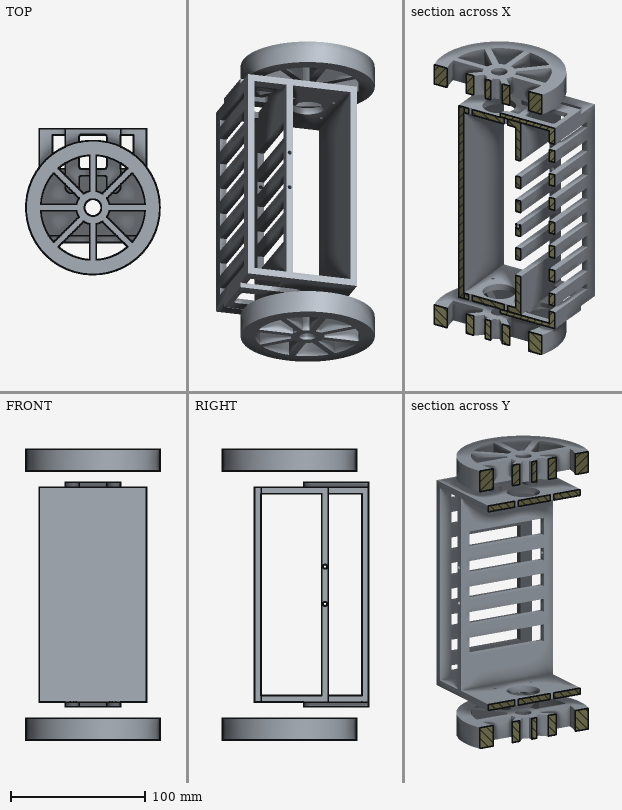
import cadquery as cq


WHEEL_DIAMETER = 100.0
WHEEL_THICKNESS = 16.5
RIM_INNER_DIAMETER = 77.8
HUB_DIAMETER = 25.0
BORE_DIAMETER = 12.4
SPOKE_WIDTH = 5.0
SPOKE_BARS = 4
OVERALL_HEIGHT = 216.8
OVERALL_DEPTH = 108.8

HOUSING_WIDTH = 80.0
HOUSING_HEIGHT = 160.0
PLATE = 5.0
REAR_DEPTH = 30.0
MOTOR_DEPTH = 50.0
BACK_Y = OVERALL_DEPTH - WHEEL_DIAMETER / 2
REAR_FRONT_Y = BACK_Y - REAR_DEPTH
MOTOR_FRONT_Y = REAR_FRONT_Y - MOTOR_DEPTH
INNER_HEIGHT = HOUSING_HEIGHT - 2 * PLATE

BAR_HEIGHT = 10.0
BAR_PITCH = 2 * BAR_HEIGHT
REAR_WINDOW_WIDTH = 60.0
REAR_WINDOW_HEIGHT = 140.0
REAR_BARS = 7
MOTOR_WINDOW_WIDTH = 64.5
MOTOR_WINDOW_HEIGHT = 96.0
MOTOR_BARS = 4

NOTCH_WIDTH = REAR_WINDOW_WIDTH

BRACKET_WIDTH = 41.5
BRACKET_THICKNESS = 3.7
BRACKET_LENGTH = 48.3
BRACKET_SLOT_WIDTH = 20.5
CLOSED_SLOT_START = 4.1
CLOSED_SLOT_END = 30.4
CLOSED_SLOT_RADIUS = 2.5
OPEN_SLOT_START = 35.3
OPEN_SLOT_RADIUS = 1.3

MOTOR_BOSS_DIAMETER = HUB_DIAMETER
MOTOR_SCREW_DIAMETER = 2.5
MOTOR_SCREW_SPACING = 31.2
CROSS_HOLE_DIAMETER = 3.0
CROSS_HOLE_HEIGHTS = (20.8, -7.0)


def box(width, y_front, y_back, z_bottom, z_top):
    """A block centred on X = 0 between the given Y and Z limits."""
    return (
        cq.Workplane("XY", origin=(0, (y_front + y_back) / 2, z_bottom))
        .rect(width, y_back - y_front)
        .extrude(z_top - z_bottom)
    )


def centred_box(width, y_front, y_back, height):
    return box(width, y_front, y_back, -height / 2, height / 2)


def barred_window(width, height, bars, y_front, y_back):
    """The cutter for a window crossed by evenly spaced level bars."""
    window = centred_box(width, y_front, y_back, height)
    for i in range(bars):
        z = (i - (bars - 1) / 2) * BAR_PITCH
        window = window.cut(box(width, y_front, y_back, z - BAR_HEIGHT / 2, z + BAR_HEIGHT / 2))
    return window


def make_wheel(z_bottom):
    """A rim, a bored hub and the spokes between them."""
    base = cq.Workplane("XY", origin=(0, 0, z_bottom))
    wheel = base.circle(WHEEL_DIAMETER / 2).circle(RIM_INNER_DIAMETER / 2).extrude(WHEEL_THICKNESS)
    wheel = wheel.union(base.circle(HUB_DIAMETER / 2).extrude(WHEEL_THICKNESS))
    spoke_length = (WHEEL_DIAMETER + RIM_INNER_DIAMETER) / 2
    bar = base.rect(spoke_length, SPOKE_WIDTH).extrude(WHEEL_THICKNESS)
    for i in range(SPOKE_BARS):
        wheel = wheel.union(bar.rotate((0, 0, 0), (0, 0, 1), i * 180 / SPOKE_BARS))
    return wheel.cut(base.circle(BORE_DIAMETER / 2).extrude(WHEEL_THICKNESS))


def make_bracket():
    """The forked plate on top of the rear frame."""
    z_bottom = HOUSING_HEIGHT / 2
    z_top = z_bottom + BRACKET_THICKNESS
    tip_y = BACK_Y - BRACKET_LENGTH
    prong_width = (BRACKET_WIDTH - BRACKET_SLOT_WIDTH) / 2
    prong_x = (BRACKET_WIDTH - prong_width) / 2
    prong_y = tip_y + prong_width / 2
    bracket = box(BRACKET_WIDTH, prong_y, BACK_Y, z_bottom, z_top)
    prong_ends = (
        cq.Workplane("XY", origin=(0, prong_y, z_bottom))
        .pushPoints([(-prong_x, 0), (prong_x, 0)])
        .circle(prong_width / 2)
        .extrude(BRACKET_THICKNESS)
    )
    open_slot = (
        box(BRACKET_SLOT_WIDTH, tip_y, BACK_Y - OPEN_SLOT_START, z_bottom, z_top)
        .edges("|Z and >Y")
        .fillet(OPEN_SLOT_RADIUS)
    )
    closed_slot = (
        box(BRACKET_SLOT_WIDTH, BACK_Y - CLOSED_SLOT_END, BACK_Y - CLOSED_SLOT_START, z_bottom, z_top)
        .edges("|Z")
        .fillet(CLOSED_SLOT_RADIUS)
    )
    return bracket.cut(open_slot).union(prong_ends).cut(closed_slot)


def make_rear_frame():
    """A frame open to the front and sides, with a barred back wall and a bracket on each end."""
    wall_front_y = BACK_Y - PLATE
    frame = centred_box(HOUSING_WIDTH, REAR_FRONT_Y, BACK_Y, HOUSING_HEIGHT)
    frame = frame.cut(centred_box(HOUSING_WIDTH, REAR_FRONT_Y, wall_front_y, INNER_HEIGHT))
    frame = frame.cut(
        barred_window(REAR_WINDOW_WIDTH, REAR_WINDOW_HEIGHT, REAR_BARS, wall_front_y, BACK_Y)
    )
    plate_z = INNER_HEIGHT / 2
    notch = box(NOTCH_WIDTH, REAR_FRONT_Y, wall_front_y, plate_z, plate_z + PLATE)
    bracket = make_bracket()
    return (
        frame.cut(notch)
        .cut(notch.mirror("XY"))
        .union(bracket)
        .union(bracket.mirror("XY"))
    )


def make_motor_frame():
    """A frame open to the front and sides, with a barred wall and a motor mount in each end."""
    wall_front_y = REAR_FRONT_Y - PLATE
    frame = centred_box(HOUSING_WIDTH, MOTOR_FRONT_Y, REAR_FRONT_Y, HOUSING_HEIGHT)
    frame = frame.cut(centred_box(HOUSING_WIDTH, MOTOR_FRONT_Y, wall_front_y, INNER_HEIGHT))
    frame = frame.cut(
        barred_window(MOTOR_WINDOW_WIDTH, MOTOR_WINDOW_HEIGHT, MOTOR_BARS, wall_front_y, REAR_FRONT_Y)
    )
    base = cq.Workplane("XY", origin=(0, 0, -HOUSING_HEIGHT / 2))
    frame = frame.cut(base.circle(MOTOR_BOSS_DIAMETER / 2).extrude(HOUSING_HEIGHT))
    screw_holes = (
        base.rect(MOTOR_SCREW_SPACING, MOTOR_SCREW_SPACING, forConstruction=True)
        .vertices()
        .circle(MOTOR_SCREW_DIAMETER / 2)
        .extrude(HOUSING_HEIGHT)
    )
    cross_holes = (
        cq.Workplane("YZ", origin=(-HOUSING_WIDTH / 2, REAR_FRONT_Y - PLATE / 2, 0))
        .pushPoints([(0, z) for z in CROSS_HOLE_HEIGHTS])
        .circle(CROSS_HOLE_DIAMETER / 2)
        .extrude(HOUSING_WIDTH)
    )
    return frame.cut(screw_holes).cut(cross_holes)


def make_front_cover():
    """A plain plate that closes the motor frame."""
    return centred_box(HOUSING_WIDTH, MOTOR_FRONT_Y - PLATE, MOTOR_FRONT_Y, HOUSING_HEIGHT)


rear_frame = make_rear_frame()
motor_frame = make_motor_frame()
front_cover = make_front_cover()
wheels = [
    make_wheel(z_bottom)
    for z_bottom in (-OVERALL_HEIGHT / 2, OVERALL_HEIGHT / 2 - WHEEL_THICKNESS)
]

result = cq.Compound.makeCompound(
    [
        rear_frame.val(),
        motor_frame.val(),
        front_cover.val(),
        *[wheel.val() for wheel in wheels],
    ]
)